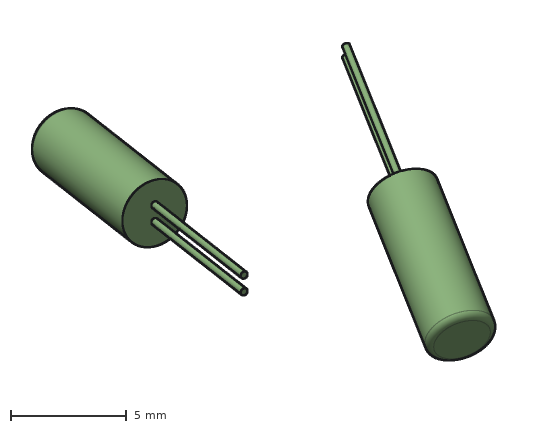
import cadquery as cq

total_length = 16.3
can_length = 8.31
can_diameter = 3.2
rim_radius = 0.31

lead_diameter = 0.35
lead_spacing = 0.8

lead_length = total_length - can_length
can_start_x = -total_length / 2
can_end_x = can_start_x + can_length


def make_can():
    """Cylindrical can along X with a rounded rim at its closed end."""
    can = cq.Workplane("YZ", origin=(can_start_x, 0, 0)).circle(can_diameter / 2).extrude(can_length)
    return can.faces("<X").edges().fillet(rim_radius)


def make_lead(height):
    """Round wire lead that starts on the flat end face of the can."""
    return cq.Workplane("YZ", origin=(can_end_x, 0, height)).circle(lead_diameter / 2).extrude(lead_length)


can = make_can()
leads = [make_lead(side * lead_spacing / 2) for side in (-1, 1)]

result = cq.Compound.makeCompound([can.val(), *[lead.val() for lead in leads]])